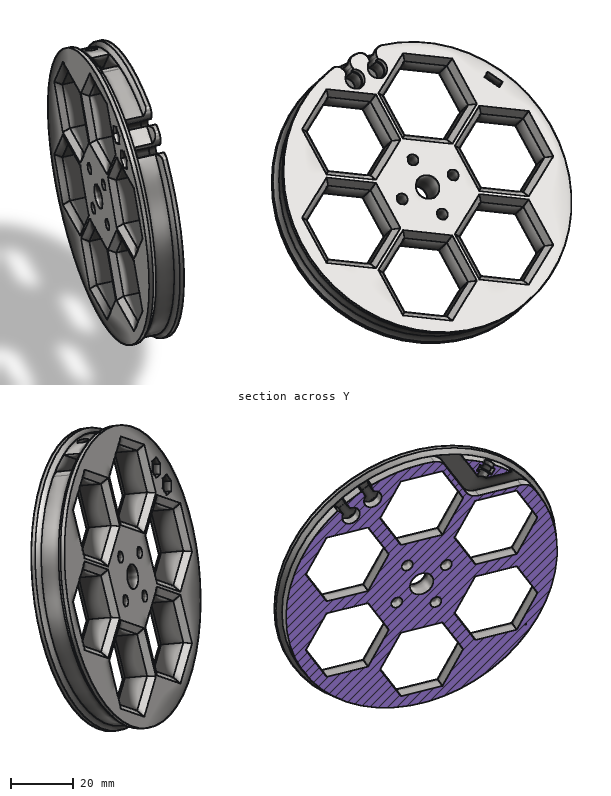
import cadquery as cq
import math

rim_radius = 98 / 2
thickness = 12
front_y = -thickness / 2
back_y = thickness / 2

groove_radius = 94.98 / 2
groove_width = 6.2
flange_edge_width = 1.45

bore_diameter = 8
hub_hole_diameter = 3.7
hub_hole_circle_radius = 10
hub_hole_start_angle = 60
hub_hole_count = 4

nut_flats = 5.8

window_pitch = 30
window_count = 6
rib_top_width = 1
window_chamfer = 2
window_mouth_flats = window_pitch - rib_top_width
window_flats = window_mouth_flats - 2 * window_chamfer

pocket_front_y = -3

channel_axis_angle = -30
channel_width = 6
channel_floor_distance = window_pitch / 2 + window_mouth_flats / 2
channel_roof_distance = channel_floor_distance + channel_width
channel_arm_tilt = math.radians(30)
channel_fillet = 5
clamp_hole_diameter = 3.7
clamp_nut_thickness = 2.2
clamp_nut_cover = 1.5

screw_angles = (24, 36)
screw_circle_radius = 42
nut_depth = 2.6
slot_half_width = 1.5
slot_mouth_fillet = 2.8
screw_bore_diameter = 6
screw_head_diameter = 6.6
screw_head_depth = 2.4

overcut = 1


def slab(y_back):
    """Sketch plane facing -Y at y_back, with local axes X and Z."""
    return cq.Workplane("XZ", origin=(0, y_back, 0))


def cylinder(x, z, diameter, y_front, y_back):
    return slab(y_back).center(x, z).circle(diameter / 2).extrude(y_back - y_front)


def turn_from_z(body, angle):
    """Turn a body about the disc axis; positive angles go from +Z toward +X."""
    return body.rotate((0, 0, 0), (0, 1, 0), angle)


def hexagon_diameter(flats):
    """Corner to corner size of a hexagon."""
    return flats / math.cos(math.pi / 6)


def scaled_to(point, radius):
    """Move a point along its own radial line to the given radius."""
    factor = radius / math.hypot(*point)
    return (point[0] * factor, point[1] * factor)


def mirrored(point):
    return (-point[0], point[1])


def arc_middle(centre, start, end):
    """Middle of the short arc from start to end about centre."""
    toward = (start[0] + end[0] - 2 * centre[0], start[1] + end[1] - 2 * centre[1])
    offset = scaled_to(toward, math.dist(centre, start))
    return (centre[0] + offset[0], centre[1] + offset[1])


def grooved_disc():
    groove_half = groove_width / 2
    flank_end = back_y - flange_edge_width
    profile = [
        (0, front_y),
        (rim_radius, front_y),
        (rim_radius, -flank_end),
        (groove_radius, -groove_half),
        (groove_radius, groove_half),
        (rim_radius, flank_end),
        (rim_radius, back_y),
        (0, back_y),
    ]
    return cq.Workplane("XY").polyline(profile).close().revolve(360, (0, 0, 0), (0, 1, 0))


def hub_holes():
    holes = cylinder(0, 0, bore_diameter, front_y, back_y)
    for index in range(hub_hole_count):
        angle = math.radians(hub_hole_start_angle + index * 360 / hub_hole_count)
        x = hub_hole_circle_radius * math.cos(angle)
        z = hub_hole_circle_radius * math.sin(angle)
        holes = holes.add(cylinder(x, z, hub_hole_diameter, front_y, back_y))
    return holes.combine()


def window():
    """Hexagonal opening above the hub, flared at the front and back faces."""
    straight = (
        slab(back_y).center(0, window_pitch)
        .polygon(6, hexagon_diameter(window_flats)).extrude(thickness)
    )
    flare = (
        slab(front_y + window_chamfer).center(0, window_pitch)
        .polygon(6, hexagon_diameter(window_flats))
        .workplane(offset=window_chamfer)
        .polygon(6, hexagon_diameter(window_mouth_flats))
        .loft(ruled=True)
    )
    return straight.union(flare).union(flare.mirror("XZ"))


def cord_channel():
    """V channel with a rounded bend and rounded mouths, plus the clamp hole and nut slot."""
    normal = (math.sin(channel_arm_tilt), math.cos(channel_arm_tilt))
    along = (normal[1], -normal[0])

    bend_centre_z = (channel_floor_distance + channel_fillet) / normal[1]
    bend_left = (-channel_fillet * normal[0], bend_centre_z - channel_fillet * normal[1])
    bend_bottom = (0, bend_centre_z - channel_fillet)

    centre_height = channel_floor_distance - channel_fillet
    centre_reach = math.sqrt((groove_radius - channel_fillet) ** 2 - centre_height ** 2)
    mouth_centre = (
        centre_height * normal[0] - centre_reach * along[0],
        centre_height * normal[1] - centre_reach * along[1],
    )
    floor_end = (
        mouth_centre[0] + channel_fillet * normal[0],
        mouth_centre[1] + channel_fillet * normal[1],
    )
    mouth_end = scaled_to(mouth_centre, groove_radius)
    mouth_middle = arc_middle(mouth_centre, floor_end, mouth_end)
    mouth_outside = scaled_to(mouth_end, rim_radius)

    roof_reach = math.sqrt(rim_radius ** 2 - channel_roof_distance ** 2)
    roof_outside = (
        channel_roof_distance * normal[0] - roof_reach * along[0],
        channel_roof_distance * normal[1] - roof_reach * along[1],
    )
    roof_corner = (0, channel_roof_distance / normal[1])

    channel_back_y = -pocket_front_y
    channel = (
        slab(channel_back_y)
        .moveTo(*mouth_outside).lineTo(*mouth_end)
        .threePointArc(mouth_middle, floor_end)
        .lineTo(*bend_left)
        .threePointArc(bend_bottom, mirrored(bend_left))
        .lineTo(*mirrored(floor_end))
        .threePointArc(mirrored(mouth_middle), mirrored(mouth_end))
        .lineTo(*mirrored(mouth_outside))
        .lineTo(*mirrored(roof_outside))
        .lineTo(*roof_corner)
        .lineTo(*roof_outside)
        .close().extrude(channel_back_y - pocket_front_y)
    )
    clamp_hole = (
        cq.Workplane("XY", origin=(0, 0, bend_centre_z))
        .circle(clamp_hole_diameter / 2).extrude(rim_radius - bend_centre_z)
    )
    cutter = channel.union(clamp_hole).union(clamp_nut_slot())
    return turn_from_z(cutter, channel_axis_angle)


def clamp_nut_slot():
    """Hexagonal nut seat across the clamp hole, open toward the back face."""
    seat_floor = groove_radius - clamp_nut_cover - clamp_nut_thickness
    plane = cq.Workplane("XY", origin=(0, 0, seat_floor))
    seat = (
        plane.transformed(rotate=(0, 0, 90))
        .polygon(6, hexagon_diameter(nut_flats)).extrude(clamp_nut_thickness)
    )
    entry = plane.center(0, back_y / 2).rect(nut_flats, back_y).extrude(clamp_nut_thickness)
    return seat.union(entry)


def screw_station(angle):
    """Nut pocket, stepped screw bore and the flared slot joining it to the rim."""
    fillet_x = slot_half_width + slot_mouth_fillet
    fillet_z = math.sqrt((rim_radius - slot_mouth_fillet) ** 2 - fillet_x ** 2)
    fillet_centre = (fillet_x, fillet_z)
    wall_end = (slot_half_width, fillet_z)
    mouth_end = scaled_to(fillet_centre, rim_radius)
    mouth_middle = arc_middle(fillet_centre, wall_end, mouth_end)
    mouth_outside = scaled_to(mouth_end, rim_radius + overcut)

    slot = (
        slab(back_y)
        .moveTo(slot_half_width, screw_circle_radius).lineTo(*wall_end)
        .threePointArc(mouth_middle, mouth_end)
        .lineTo(*mouth_outside)
        .lineTo(*mirrored(mouth_outside))
        .lineTo(*mirrored(mouth_end))
        .threePointArc(mirrored(mouth_middle), mirrored(wall_end))
        .lineTo(-slot_half_width, screw_circle_radius)
        .close().extrude(back_y - pocket_front_y)
    )
    bore = cylinder(0, screw_circle_radius, screw_bore_diameter, pocket_front_y, back_y)
    head = cylinder(0, screw_circle_radius, screw_head_diameter, back_y - screw_head_depth, back_y)
    station = turn_from_z(slot.union(bore).union(head), angle)

    turn = math.radians(angle)
    nut_pocket = (
        slab(front_y + nut_depth)
        .center(screw_circle_radius * math.sin(turn), screw_circle_radius * math.cos(turn))
        .transformed(rotate=(0, 0, 90))
        .polygon(6, hexagon_diameter(nut_flats)).extrude(nut_depth)
    )
    return station.union(nut_pocket)


result = grooved_disc().cut(hub_holes())
for index in range(window_count):
    result = result.cut(turn_from_z(window(), index * 360 / window_count))
result = result.cut(cord_channel())
for screw_angle in screw_angles:
    result = result.cut(screw_station(screw_angle))